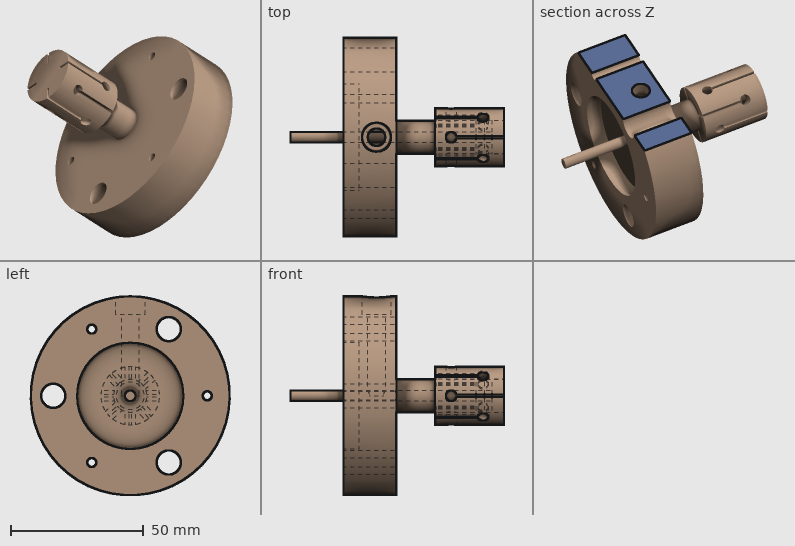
import cadquery as cq


flange_diameter = 75.0
flange_thickness = 20.0
flange_left = 20.0
flange_right = flange_left + flange_thickness
recess_diameter = 40.05
recess_depth = 6.0

hole_circle_radius = 29.0
wide_hole_diameter = 9.0
narrow_hole_diameter = 3.3
holes_per_size = 3
hole_pitch_angle = 360 / holes_per_size

radial_hole_x = flange_left + 12.5
radial_hole_diameter = 6.6
radial_hole_floor_z = 0.0
counterbore_diameter = 11.0
counterbore_floor_z = 30.7

neck_diameter = 12.5
neck_straight_length = 30.0
neck_taper_length = 3.15
neck_tip_diameter = 10.5
taper_start = flange_right + neck_straight_length

collar_diameter = 22.0
collar_length = 26.0
collar_right = 80.6
collar_left = collar_right - collar_length
slot_width = 1.05
relief_hole_diameter = 4.0
right_slot_relief_x = collar_left + 6.05
left_slot_relief_x = collar_left + 18.05
slots_per_end = 4
slot_pitch_angle = 360 / slots_per_end
left_slot_angle = 47.5

rod_diameter = 4.0
head_length = 4.5
head_left = collar_right - head_length


def cross_section(x):
    """Workplane across the X axis at the given X."""
    return cq.Workplane(cq.Plane(origin=(x, 0, 0), xDir=(0, 0, 1), normal=(1, 0, 0)))


def axial_cylinder(diameter, left, right):
    return cross_section(left).circle(diameter / 2).extrude(right - left)


def tapered_neck():
    straight = axial_cylinder(neck_diameter, flange_right, taper_start)
    tip = (
        cross_section(taper_start)
        .circle(neck_diameter / 2)
        .workplane(offset=neck_taper_length)
        .circle(neck_tip_diameter / 2)
        .loft()
    )
    return straight.union(tip)


def flange_holes(diameter, first_angle):
    """Ring of equal holes; angles run from +Z toward -Y."""
    return (
        cross_section(flange_left)
        .polarArray(hole_circle_radius, first_angle, 360, holes_per_size)
        .circle(diameter / 2)
        .extrude(flange_thickness)
    )


def vertical_hole(diameter, floor_z):
    """Cutter from the given floor up past the flange rim."""
    return (
        cq.Workplane("XY", origin=(radial_hole_x, 0, floor_z))
        .circle(diameter / 2)
        .extrude(flange_diameter / 2)
    )


def make_flange():
    body = axial_cylinder(flange_diameter, flange_left, flange_right)
    body = body.union(tapered_neck())
    body = body.cut(axial_cylinder(recess_diameter, flange_left, flange_left + recess_depth))
    body = body.cut(flange_holes(narrow_hole_diameter, 90))
    body = body.cut(flange_holes(wide_hole_diameter, 90 + hole_pitch_angle / 2))
    body = body.cut(vertical_hole(radial_hole_diameter, radial_hole_floor_z))
    body = body.cut(vertical_hole(counterbore_diameter, counterbore_floor_z))
    return body.cut(axial_cylinder(rod_diameter, 0, taper_start + neck_taper_length))


def make_rod():
    rod = axial_cylinder(rod_diameter, 0, head_left)
    head = axial_cylinder(neck_diameter, head_left, collar_right)
    return rod.union(head)


def keyhole_slot(relief_x, open_end_x, angle):
    """Cutter for a slot through one wall of the collar, from its end to a round relief hole."""
    relief_hole = (
        cq.Workplane("XY", origin=(relief_x, 0, 0))
        .circle(relief_hole_diameter / 2)
        .extrude(collar_diameter)
    )
    slot = (
        cq.Workplane("XY", origin=((relief_x + open_end_x) / 2, 0, 0))
        .rect(abs(open_end_x - relief_x), slot_width)
        .extrude(collar_diameter)
    )
    return relief_hole.union(slot).rotate((0, 0, 0), (1, 0, 0), angle)


def make_collar():
    body = axial_cylinder(collar_diameter, collar_left, collar_right)
    body = body.cut(axial_cylinder(neck_diameter, collar_left, collar_right))
    for i in range(slots_per_end):
        angle = i * slot_pitch_angle
        body = body.cut(keyhole_slot(right_slot_relief_x, collar_right, angle))
        body = body.cut(keyhole_slot(left_slot_relief_x, collar_left, angle + left_slot_angle))
    return body


flange = make_flange()
rod = make_rod()
collar = make_collar()

result = cq.Compound.makeCompound([flange.val(), rod.val(), collar.val()])